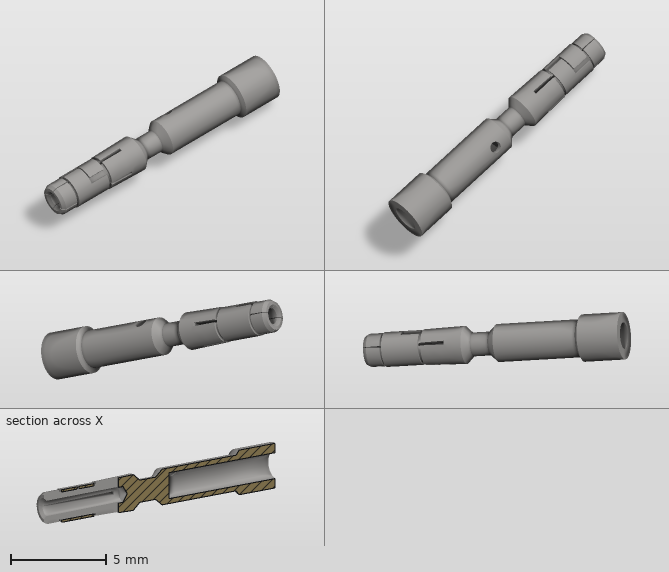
import cadquery as cq

length = 14.1

collar_r = 1.248
collar_start = 11.87
collar_cone_length = 0.17
barrel_r = 1.0
barrel_start = 7.19
neck_r = 0.627
neck_end = 6.78
neck_start = 5.82

tine_base = 5.43
tine_shoulder_r = 0.95
tine_shoulder = 3.2
seat_rear_r = 0.8
seat_front_r = 0.76
head_rear = 0.93
head_r = 0.87
head_chamfer_end = 0.2
tip_r = 0.76

socket_r = 0.42
mouth_r = 0.58
mouth_depth = mouth_r - socket_r
socket_depth = 4.8
socket_point = 0.25

wire_bore_r = 0.7
wire_bore_end = 7.61
inspection_d = 0.62
inspection_y = 8.1
inspection_angle = -45.0

slit_end = 4.5
slit_wide = 0.2
slit_narrow = 0.03

sleeve_r = 0.92
sleeve_inner_r = seat_front_r
sleeve_front = 1.05
sleeve_rear = 3.05
step_front = 2.03
step_rear = 2.1
rear_gap = (28.0, 49.0)
front_gap = (-48.0, -29.0)
tab_corner_r = 0.07


def turned(points, angle=360.0):
    """Revolve an outline of (Y, radius) points about the Y axis, starting at +Z."""
    return cq.Workplane("YZ").polyline(points).close().revolve(angle, (0, 0, 0), (1, 0, 0))


def turned_body():
    return turned([
        (0, 0),
        (0, tip_r),
        (head_chamfer_end, head_r),
        (head_rear, head_r),
        (head_rear, seat_front_r),
        (tine_shoulder, seat_rear_r),
        (tine_shoulder, tine_shoulder_r),
        (tine_base, barrel_r),
        (neck_start, neck_r),
        (neck_end, neck_r),
        (barrel_start, barrel_r),
        (collar_start - collar_cone_length, barrel_r),
        (collar_start, collar_r),
        (length, collar_r),
        (length, 0),
    ])


def socket_bore():
    return turned([
        (0, 0),
        (0, mouth_r),
        (mouth_depth, socket_r),
        (socket_depth, socket_r),
        (socket_depth + socket_point, 0),
    ])


def wire_bore():
    return turned([
        (wire_bore_end, 0),
        (wire_bore_end, wire_bore_r),
        (length, wire_bore_r),
        (length, 0),
    ])


def inspection_hole():
    """Hole through one side of the barrel into the wire bore."""
    hole = cq.Workplane("XY").center(0, inspection_y).circle(inspection_d / 2).extrude(collar_r)
    return hole.rotate((0, 0, 0), (0, 1, 0), inspection_angle)


def tine_slit():
    """Tapered slit across the full diameter, opening on +Z and -Z."""
    outline = [
        (-slit_narrow / 2, 0),
        (slit_narrow / 2, 0),
        (slit_wide / 2, slit_end),
        (-slit_wide / 2, slit_end),
    ]
    return cq.Workplane("XY").polyline(outline).close().extrude(collar_r, both=True)


def ring_sector(y_start, y_end, angle_start, angle_end):
    """Part of the sleeve ring between two planes and two angles."""
    outline = [
        (y_start, sleeve_inner_r),
        (y_start, sleeve_r),
        (y_end, sleeve_r),
        (y_end, sleeve_inner_r),
    ]
    sector = turned(outline, angle_end - angle_start)
    return sector.rotate((0, 0, 0), (0, 1, 0), angle_start)


def sleeve():
    """Split ring whose two ends overlap as a front tab and a rear tab."""
    front_half = ring_sector(sleeve_front, step_front, front_gap[1], front_gap[0] + 360)
    rear_half = ring_sector(step_rear, sleeve_rear, rear_gap[1], rear_gap[0] + 360)
    front_half = round_tab(front_half, front_gap[1])
    rear_half = round_tab(rear_half, rear_gap[0])
    bridge = ring_sector(step_front, step_rear, rear_gap[1], front_gap[0] + 360)
    return front_half.union(bridge).union(rear_half)


def round_tab(half, end_angle):
    """Round the two radial corner edges on the end face at the given angle."""
    turned_back = half.rotate((0, 0, 0), (0, 1, 0), -end_angle)
    end_corners = cq.selectors.BoxSelector(
        (-tab_corner_r, 0, 0), (tab_corner_r, length, sleeve_r)
    )
    rounded = turned_back.edges("|Z").edges(end_corners).fillet(tab_corner_r)
    return rounded.rotate((0, 0, 0), (0, 1, 0), end_angle)


result = turned_body().cut(socket_bore()).cut(wire_bore()).cut(inspection_hole())
for slit_angle in (0, 90):
    result = result.cut(tine_slit().rotate((0, 0, 0), (0, 1, 0), slit_angle))
result = result.union(sleeve())